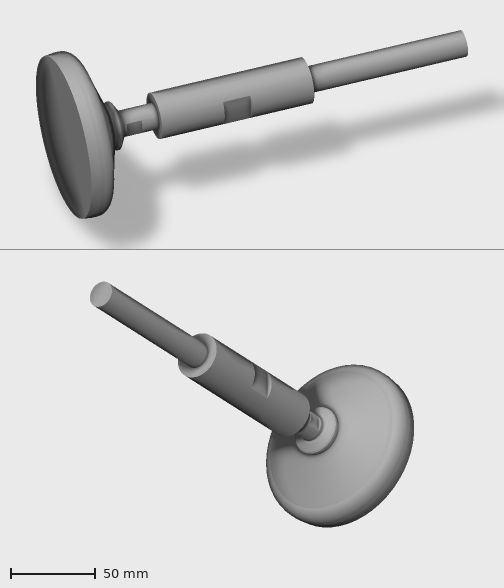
import cadquery as cq

TOTAL_LENGTH = 250.0

PAD_DIAMETER = 100.0
PAD_BASE_DIAMETER = 98.5
RIM_START = 6.0
RIM_END = 9.2
CONE_START_RADIUS = 43.5
CONE_START = 16.0
SHOULDER_MID_RADIUS = 48.2
SHOULDER_MID = 13.5
CONE_END_RADIUS = 14.0
CONE_END = 27.2

COLLAR_RADIUS = 14.8
COLLAR_START = 29.0
COLLAR_END = 32.0
COLLAR_CHAMFER = 0.8
COLLAR_TOP_RADIUS = 9.2
COLLAR_TOP = 34.8

SPINDLE_DIAMETER = 16.0
SPINDLE_ACROSS_FLATS = 12.8
SPINDLE_FLAT_START = 37.0
SPINDLE_FLAT_LENGTH = 9.5

SLEEVE_DIAMETER = 28.0
SLEEVE_START = 56.8
SLEEVE_LENGTH = 95.0
SLEEVE_ACROSS_FLATS = 22.0
SLEEVE_FLAT_LENGTH = 17.0
SLEEVE_FLAT_START = SLEEVE_START + (SLEEVE_LENGTH - SLEEVE_FLAT_LENGTH) / 2


def cylinder(diameter, start, length):
    """Cylinder along +Y beginning at Y = start."""
    return cq.Workplane(cq.Solid.makeCylinder(
        diameter / 2, length, cq.Vector(0, start, 0), cq.Vector(0, 1, 0)))


def cut_wrench_flats(body, diameter, across_flats, start, length):
    """Cut two opposite flats, facing -X and +X, into a round body."""
    for side in (-1, 1):
        cutter = (
            cq.Workplane("XY")
            .box(diameter, length, 2 * diameter)
            .translate((side * (across_flats + diameter) / 2, start + length / 2, 0))
        )
        body = body.cut(cutter)
    return body


def make_pad_and_collar():
    """Revolved pad with rounded shoulder, cone and seal collar."""
    return (
        cq.Workplane("XY")
        .lineTo(PAD_BASE_DIAMETER / 2, 0)
        .lineTo(PAD_DIAMETER / 2, RIM_START)
        .lineTo(PAD_DIAMETER / 2, RIM_END)
        .threePointArc((SHOULDER_MID_RADIUS, SHOULDER_MID), (CONE_START_RADIUS, CONE_START))
        .lineTo(CONE_END_RADIUS, CONE_END)
        .lineTo(COLLAR_RADIUS - COLLAR_CHAMFER, COLLAR_START)
        .lineTo(COLLAR_RADIUS, COLLAR_START + COLLAR_CHAMFER)
        .lineTo(COLLAR_RADIUS, COLLAR_END - COLLAR_CHAMFER)
        .lineTo(COLLAR_RADIUS - COLLAR_CHAMFER, COLLAR_END)
        .lineTo(COLLAR_TOP_RADIUS, COLLAR_TOP)
        .lineTo(0, COLLAR_TOP)
        .close()
        .revolve(360, (0, 0, 0), (0, 1, 0))
    )


def make_foot():
    """Pad, collar and full-length spindle as one solid."""
    spindle = cylinder(SPINDLE_DIAMETER, CONE_END, TOTAL_LENGTH - CONE_END)
    spindle = cut_wrench_flats(
        spindle, SPINDLE_DIAMETER, SPINDLE_ACROSS_FLATS, SPINDLE_FLAT_START, SPINDLE_FLAT_LENGTH)
    return make_pad_and_collar().union(spindle)


def make_sleeve():
    """Sleeve bored to fit the spindle, with flats at mid-length."""
    sleeve = cylinder(SLEEVE_DIAMETER, SLEEVE_START, SLEEVE_LENGTH)
    bore = cylinder(SPINDLE_DIAMETER, SLEEVE_START, SLEEVE_LENGTH)
    return cut_wrench_flats(
        sleeve.cut(bore), SLEEVE_DIAMETER, SLEEVE_ACROSS_FLATS, SLEEVE_FLAT_START, SLEEVE_FLAT_LENGTH)


foot = make_foot()
sleeve = make_sleeve()
result = cq.Compound.makeCompound([foot.val(), sleeve.val()])